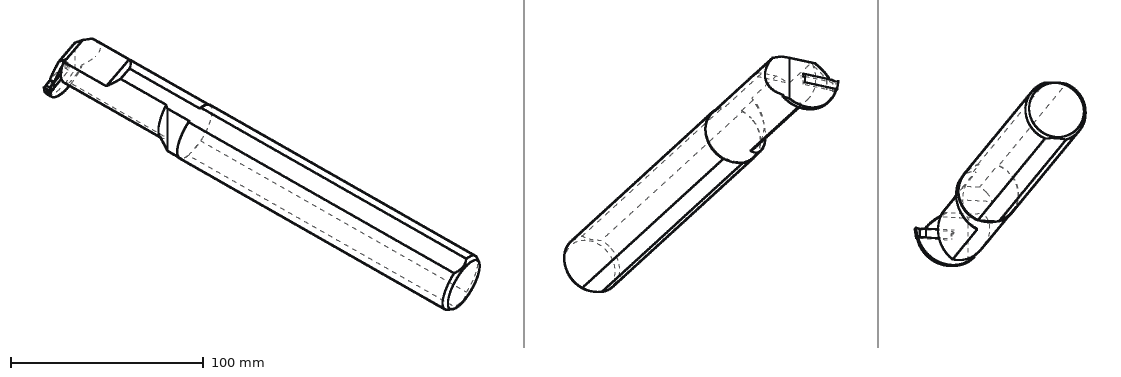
import cadquery as cq
import math


total_length = 250
shank_radius = 16.0
shank_start = 80
neck_radius = 15.8
flat_height = 15.0
end_chamfer_length = 2.3
end_chamfer_depth = 1.5

relief_front = -10.3
relief_radius = 19.5
relief_axis_y = relief_front + relief_radius
relief_end = 64.3
runout_length = 10.0
runout_angle = 30

platform_height = 9.3
platform_end = 29.8
nose_chamfer_length = 3.0
nose_chamfer_drop = 1.5

corner_y = 6.3

blade_thickness = 2.8
blade_radius = 18.0
blade_center_y = -3.3
blade_center_z = -0.5
slope_top_y = -5.5
slope_middle = (-11.5, 5.8)
slope_bottom_y = -16.5
slope_bottom_z = 1.0

insert_thickness = 2.5
insert_back_y = -1.8
insert_tip_y = -22.0
insert_top = 0.3
insert_bottom = -4.5
insert_tail_step = 1.0
insert_tail_lip = 1.5
insert_front_relief = 0.8
edge_width = 3.3
edge_length = 2.0
rake_back_y = -18.0
rake_depth = 0.5

margin = 12.5


def rod(start, end, radius, y=0, z=0):
    """Cylinder along X between two stations."""
    return cq.Workplane("YZ", origin=(start, y, z)).circle(radius).extrude(end - start)


def slab(x_range, y_range, z_range):
    """Box between two limits on each axis."""
    sizes = [high - low for low, high in (x_range, y_range, z_range)]
    corner = (x_range[0], y_range[0], z_range[0])
    return cq.Workplane("XY").box(*sizes, centered=False).translate(corner)


def make_shank():
    """Round shank with a chamfered end and flats on top and bottom."""
    outline = [
        (shank_start, 0),
        (shank_start, shank_radius),
        (total_length - end_chamfer_length, shank_radius),
        (total_length, shank_radius - end_chamfer_depth),
        (total_length, 0),
    ]
    turned = cq.Workplane("XY").polyline(outline).close().revolve(360, (0, 0, 0), (1, 0, 0))
    return turned.intersect(slab(
        (shank_start, total_length),
        (-shank_radius, shank_radius),
        (-flat_height, flat_height),
    ))


def make_relief_envelope():
    """Eccentric cylinder that opens through a cone and clears the neck."""
    runout_end = relief_end + runout_length
    runout_radius = relief_radius + runout_length * math.tan(math.radians(runout_angle))
    clear_radius = runout_radius + margin
    outline = [
        (0, 0),
        (0, relief_radius),
        (relief_end, relief_radius),
        (runout_end, runout_radius),
        (runout_end, clear_radius),
        (shank_start, clear_radius),
        (shank_start, 0),
    ]
    envelope = cq.Workplane("XY").polyline(outline).close().revolve(360, (0, 0, 0), (1, 0, 0))
    return envelope.translate((0, relief_axis_y, 0))


def make_neck():
    """Neck with a flat top and a relieved front side."""
    neck = rod(blade_thickness, shank_start, neck_radius)
    neck = neck.cut(slab(
        (0, shank_start),
        (-neck_radius, neck_radius),
        (flat_height, neck_radius + margin),
    ))
    return neck.intersect(make_relief_envelope())


def make_blade():
    """Round blade at the nose, cut down along a curved slope to the insert seat."""
    blade = rod(0, blade_thickness, blade_radius, blade_center_y, blade_center_z)
    back_y = blade_center_y + blade_radius
    front_y = blade_center_y - blade_radius
    bottom_z = blade_center_z - blade_radius
    kept = (
        cq.Workplane("YZ")
        .moveTo(back_y, bottom_z)
        .lineTo(back_y, platform_height)
        .lineTo(slope_top_y, platform_height)
        .threePointArc(slope_middle, (slope_bottom_y, slope_bottom_z))
        .lineTo(slope_bottom_y, insert_bottom)
        .lineTo(front_y, insert_bottom)
        .lineTo(front_y, bottom_z)
        .close()
        .extrude(blade_thickness)
    )
    return blade.intersect(kept)


def make_platform_cut():
    """Material removed above the platform, its ramp and the nose chamfer."""
    top = flat_height + margin
    outline = [
        (0, top),
        (0, platform_height - nose_chamfer_drop),
        (nose_chamfer_length, platform_height),
        (platform_end, platform_height),
        (platform_end + top - platform_height, top),
    ]
    profile = cq.Workplane("XZ").polyline(outline).close()
    return profile.extrude(shank_radius + margin, both=True)


def make_corner_cut():
    """Triangular prism that bevels the back corner of the head."""
    leg = shank_radius + margin - corner_y
    outline = [(0, corner_y), (0, corner_y + leg), (leg, corner_y + leg)]
    return cq.Workplane("XY").polyline(outline).close().extrude(shank_radius + margin, both=True)


def make_insert():
    """Flat insert with a stepped tail, a rake recess and a wider cutting edge."""
    inner_back_y = insert_back_y - insert_tail_step
    lip_z = insert_top - insert_tail_lip
    outline = [
        (insert_back_y, insert_top),
        (insert_back_y, lip_z),
        (inner_back_y, lip_z),
        (inner_back_y, insert_bottom),
        (insert_tip_y + insert_front_relief, insert_bottom),
        (insert_tip_y, insert_top),
        ((insert_tip_y + rake_back_y) / 2, insert_top - rake_depth),
        (rake_back_y, insert_top),
    ]
    full_width = cq.Workplane("YZ").polyline(outline).close().extrude(edge_width)
    return full_width.cut(slab(
        (insert_thickness, edge_width),
        (insert_tip_y + edge_length, insert_back_y),
        (insert_bottom, insert_top),
    ))


insert = make_insert()
holder = make_neck().union(make_shank()).union(make_blade())
holder = holder.cut(make_platform_cut()).cut(make_corner_cut()).cut(insert)

result = cq.Compound.makeCompound([*holder.solids().vals(), *insert.solids().vals()])